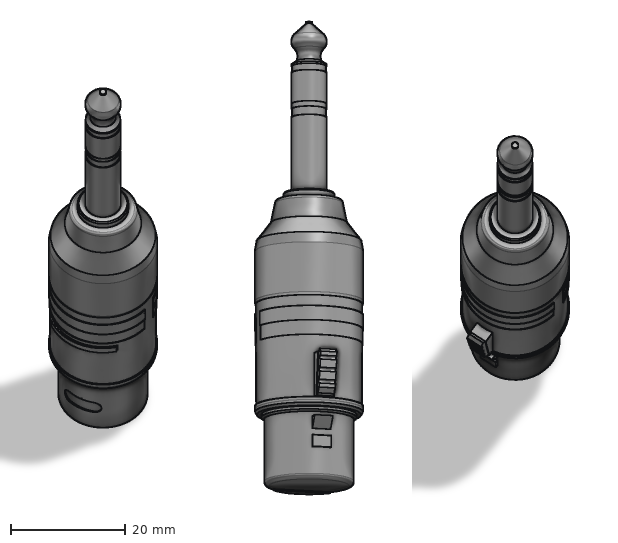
import cadquery as cq


total_height = 82.7
body_radius = 9.5
latch_reach = 12.5

nose_radius = 7.85
nose_bottom = 0.25
nose_fillet = 0.8
nose_top = 12.1
pad_radius = 6.8
pad_offset = 4.4

neck_radius = 8.35
neck_bottom = 12.4
collar_bottom = 12.9
collar_chamfer = 0.3
lip_radius = 9.4
lip_height = 0.5
collar_straight_bottom = 13.9
collar_top = 14.4

housing_bottom_radius = 9.3
housing_top_radius = 9.35
band_bottom = 25.5
band_height = 2.6
lower_band_radius = 9.4
upper_band_radius = 9.5
band_gap = 2.9

cap_bottom = 32.5
cap_edge = 0.1
cap_edge_height = 0.6
cap_straight_top = 41.9
shoulder_radius = 9.2
shoulder_top = 43.75
cone_radius = 6.7
cone_top = 47.0
crown_radius = 5.95
crown_top = 51.0
crown_round = 0.5
flange_radius = 4.5
flange_top = 52.35
flange_chamfer = 0.25

shaft_radius = 3.15
insulator_radius = 3.1
insulator_groove = 0.1
sleeve_top = 65.7
lower_insulator_step = 67.2
ring_bottom = 68.1
ring_top = 73.7
upper_insulator_step = 74.8
insulator_top = 75.2

waist_bottom_radius = 2.2
waist_bottom = 75.75
waist_radius = 2.1
waist_height = 76.9
bulb_bottom_radius = 2.6
bulb_bottom = 78.0
bulb_height = 79.3
bulb_top_radius = 2.7
bulb_top = 80.4
tip_radius = 0.6
tip_land = 0.3

web_width = 3.3
button_width = 3.0
button_inner_top = (11.25, 22.1)
button_peak = (11.8, 22.5)
button_outer_top = (latch_reach, 21.9)
button_outer_bottom = (11.4, 15.7)
button_toe = (10.75, 14.8)
button_inner_bottom = (10.2, 14.5)
web_top = 22.25
web_bottom = 14.1
grip_radius = 0.3
grip_count = 3

hook_reach = 9.35
hook_top = 11.2
hook_bottom = 9.0
latch_root = 6.6
rib_reach = 8.2
rib_bottom = 5.8
rib_top = 7.85

strip_radius = 9.7
strip_length = 13.4
strip_height = 1.15
strip_center = 23.9

label_length = 7.45
label_height = 2.65
label_center = 6.1
label_depth = 0.25


def revolve_profile(profile):
    """Close a radius-height outline on the axis and turn it about Z."""
    return profile.close().revolve(360, (0, 0, 0), (0, 1, 0))


def ring(outer_radius, inner_radius, bottom, height):
    return (
        cq.Workplane("XY", origin=(0, 0, bottom))
        .circle(outer_radius)
        .circle(inner_radius)
        .extrude(height)
    )


def side_plate(points, width):
    """Extrude a Y-Z outline, centred on X = 0."""
    return cq.Workplane("YZ").polyline(points).close().extrude(width / 2, both=True)


def make_shell():
    crown_bottom = crown_top - crown_round
    profile = (
        cq.Workplane("XZ")
        .moveTo(0, nose_bottom)
        .lineTo(nose_radius - nose_fillet, nose_bottom)
        .radiusArc((nose_radius, nose_bottom + nose_fillet), -nose_fillet)
        .lineTo(nose_radius, nose_top)
        .lineTo(neck_radius, neck_bottom)
        .lineTo(neck_radius, collar_bottom)
        .lineTo(lip_radius - collar_chamfer, collar_bottom)
        .lineTo(lip_radius, collar_bottom + lip_height)
        .lineTo(body_radius, collar_straight_bottom)
        .lineTo(body_radius, collar_top)
        .lineTo(housing_bottom_radius, collar_top)
        .lineTo(housing_top_radius, cap_bottom)
        .lineTo(body_radius - cap_edge, cap_bottom)
        .lineTo(body_radius, cap_bottom + cap_edge_height)
        .lineTo(body_radius, cap_straight_top)
        .lineTo(shoulder_radius, shoulder_top)
        .lineTo(cone_radius, cone_top)
        .lineTo(crown_radius, crown_bottom)
        .radiusArc((crown_radius - crown_round, crown_top), -crown_round)
        .lineTo(flange_radius, crown_top)
        .lineTo(flange_radius, flange_top - flange_chamfer)
        .lineTo(flange_radius - flange_chamfer, flange_top)
        .lineTo(0, flange_top)
    )
    return revolve_profile(profile)


def make_jack():
    groove_radius = insulator_radius - insulator_groove
    profile = (
        cq.Workplane("XZ")
        .moveTo(0, cap_straight_top)
        .lineTo(shaft_radius, cap_straight_top)
        .lineTo(shaft_radius, sleeve_top)
        .lineTo(groove_radius, sleeve_top)
        .lineTo(groove_radius, lower_insulator_step)
        .lineTo(insulator_radius, lower_insulator_step)
        .lineTo(insulator_radius, ring_bottom)
        .lineTo(shaft_radius, ring_bottom)
        .lineTo(shaft_radius, ring_top)
        .lineTo(groove_radius, ring_top)
        .lineTo(groove_radius, upper_insulator_step)
        .lineTo(insulator_radius, upper_insulator_step)
        .lineTo(insulator_radius, insulator_top)
        .lineTo(waist_bottom_radius, waist_bottom)
        .threePointArc((waist_radius, waist_height), (bulb_bottom_radius, bulb_bottom))
        .threePointArc((shaft_radius, bulb_height), (bulb_top_radius, bulb_top))
        .lineTo(tip_radius, total_height - tip_land)
        .lineTo(tip_radius, total_height)
        .lineTo(0, total_height)
    )
    return revolve_profile(profile)


def make_bands():
    """Two stacked bands, each split by a plain strip on the +X and -X sides."""
    lower = ring(lower_band_radius, nose_radius, band_bottom, band_height)
    upper = ring(upper_band_radius, nose_radius, band_bottom + band_height, band_height)
    strip = cq.Workplane("XY", origin=(0, 0, band_bottom + band_height)).box(
        2 * latch_reach, band_gap, 2 * band_height
    )
    return lower.union(upper).cut(strip)


def make_end_pad():
    """Thin circular segment under the -Y side of the nose."""
    disc = cq.Workplane("XY").circle(pad_radius).extrude(2 * nose_bottom)
    remainder = cq.Workplane("XY").box(4 * pad_radius, 2 * pad_radius, 4 * nose_bottom)
    return disc.cut(remainder.translate((0, pad_radius - pad_offset, 0)))


def make_button():
    """Slanted push button on a web, with finger grooves across its outer face."""
    web = side_plate(
        [
            (neck_radius, web_top),
            button_inner_top,
            button_inner_bottom,
            (neck_radius, web_bottom),
        ],
        web_width,
    )
    plate = side_plate(
        [
            button_inner_top,
            button_peak,
            button_outer_top,
            button_outer_bottom,
            button_toe,
            button_inner_bottom,
        ],
        button_width,
    )
    top_y, top_z = button_outer_top
    bottom_y, bottom_z = button_outer_bottom
    for index in range(grip_count):
        share = (index + 0.5) / grip_count
        groove_y = top_y + share * (bottom_y - top_y)
        groove_z = top_z + share * (bottom_z - top_z)
        groove = cq.Workplane("YZ").center(groove_y, groove_z).circle(grip_radius)
        plate = plate.cut(groove.extrude(button_width, both=True))
    return web.union(plate)


def make_nose_latch():
    """Pointed hook with a low rib below it."""
    hook = side_plate(
        [
            (latch_root, hook_top),
            (hook_reach, hook_top),
            (nose_radius, hook_bottom),
            (latch_root, hook_bottom),
        ],
        web_width,
    )
    rib = side_plate(
        [(latch_root, rib_top), (rib_reach, rib_top), (rib_reach, rib_bottom), (latch_root, rib_bottom)],
        web_width,
    )
    return hook.union(rib)


def make_name_strip():
    band = ring(strip_radius, nose_radius, strip_center - strip_height / 2, strip_height)
    window = cq.Workplane("XY", origin=(0, -strip_radius, strip_center)).box(
        strip_length, 2 * strip_radius, strip_height
    )
    return band.intersect(window)


def make_label_recess():
    floor = nose_radius - label_depth
    slot = (
        cq.Workplane("XZ", origin=(0, 0, label_center))
        .slot2D(label_length, label_height)
        .extrude(2 * nose_radius)
    )
    return slot.intersect(ring(2 * nose_radius, floor, 0, nose_top))


result = (
    make_shell()
    .union(make_jack())
    .union(make_bands())
    .union(make_end_pad())
    .union(make_button())
    .union(make_nose_latch())
    .union(make_name_strip())
    .cut(make_label_recess())
)